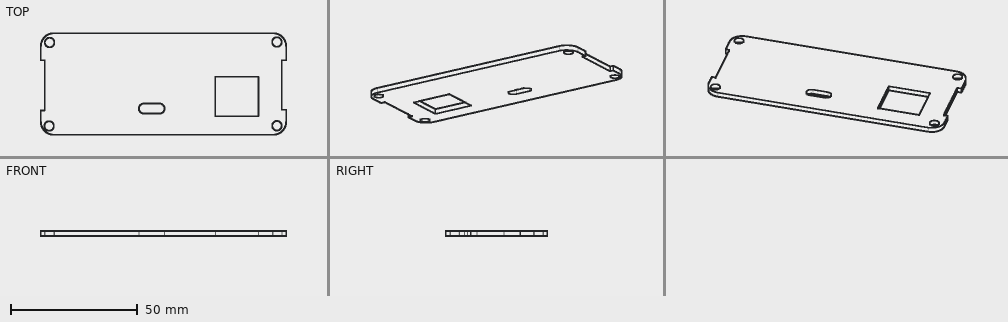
import cadquery as cq

LENGTH = 96.9
WIDTH = 40.2
THICKNESS = 2.0
CORNER_RADIUS = 5.2

HOLE_DIAMETER = 3.7
HOLE_CENTRES = [(-45.0, 16.4), (44.8, 16.6), (-45.2, -16.6), (44.8, -16.5)]

NOTCH_TOP = 9.3
LEFT_NOTCH_DEPTH = 1.55
LEFT_NOTCH_HEIGHT = 19.7
RIGHT_NOTCH_DEPTH = 1.7
RIGHT_NOTCH_HEIGHT = 19.4

SLOT_LENGTH = 10.1
SLOT_WIDTH = 3.9
SLOT_CENTRE = (-4.65, -9.7)

WINDOW_LENGTH = 17.0
WINDOW_WIDTH = 15.5
WINDOW_LEFT = 20.4
WINDOW_BOTTOM = -12.7


def rectangle_cutter(left, bottom, length, width):
    """Block through the full thickness, placed by its lower left corner."""
    return cq.Workplane("XY").box(length, width, THICKNESS, centered=False).translate((left, bottom, 0))


plate = cq.Workplane("XY").box(LENGTH, WIDTH, THICKNESS, centered=(True, True, False))
plate = plate.edges("|Z").fillet(CORNER_RADIUS)

holes = cq.Workplane("XY").pushPoints(HOLE_CENTRES).circle(HOLE_DIAMETER / 2).extrude(THICKNESS)
slot = cq.Workplane("XY").center(*SLOT_CENTRE).slot2D(SLOT_LENGTH, SLOT_WIDTH).extrude(THICKNESS)
window = rectangle_cutter(WINDOW_LEFT, WINDOW_BOTTOM, WINDOW_LENGTH, WINDOW_WIDTH)

left_notch = rectangle_cutter(
    -LENGTH / 2, NOTCH_TOP - LEFT_NOTCH_HEIGHT, LEFT_NOTCH_DEPTH, LEFT_NOTCH_HEIGHT
)
right_notch = rectangle_cutter(
    LENGTH / 2 - RIGHT_NOTCH_DEPTH, NOTCH_TOP - RIGHT_NOTCH_HEIGHT, RIGHT_NOTCH_DEPTH, RIGHT_NOTCH_HEIGHT
)

result = plate.cut(holes).cut(slot).cut(window).cut(left_notch).cut(right_notch)